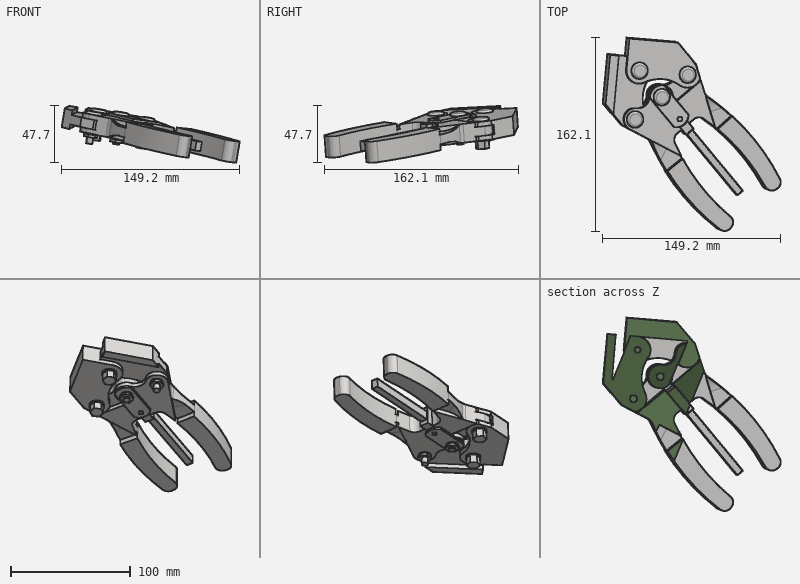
import cadquery as cq
import math


TOOL_NORMAL = (0.1655, -0.0685, 1.0)
TOOL_HEADING = -49.67

PIVOT_REACH = 29.0
HANDLE_PIVOT = (0.0, 0.0)
JAW_PIVOT = (-PIVOT_REACH, 0.0)
SIDE_PIVOT = (0.0, PIVOT_REACH)
OTHER_SIDE_PIVOT = (0.0, -PIVOT_REACH)
PIVOT_SPACING = PIVOT_REACH * math.sqrt(2)

TONGUE_THICK = 8.0
JAW_THICK = 16.0
HANDLE_THICK = 16.0
GRIP_THICK = 18.0
STRAP_THICK = 2.0

JAW_TURN = -45.0
JAW_LOBE = 11.0
JAW_DEPTH = 26.0
JAW_WAIST_RADIUS = 30.0
BLADE_WIDTH = 7.3
EDGE_TILT = 22.5

SIDE_LOBE = 9.3
CENTRE_LOBE = 10.0
VALLEY_RADIUS = 10.0
STEP_X = JAW_LOBE
CROTCH_X = 32.2
CROTCH_RADIUS = 7.0
BAR_TILT = 13.5
BAR_ROOT_X = 22.9
BAR_ROOT_TILT = 17.4
BAR_ROOT_RADIUS = 6.0
BAR_OUTER_RADIUS = 180.0
RAMP_RADIUS = 25.0
RAMP_END = 24.5

GRIP_OUTER_START = (51.0, 35.7)
GRIP_OUTER_MID = (84.0, 37.3)
GRIP_OUTER_END = (123.3, 31.6)
GRIP_INNER_END = (121.4, 17.9)
GRIP_INNER_MID = (88.0, 22.1)
GRIP_INNER_START = (51.4, 19.2)
GRIP_END_RADIUS = 6.2

STRAP_LENGTH = 20.0
STRAP_WIDTH = 16.0
STRAP_END_RADIUS = CENTRE_LOBE
BLOCK_WIDTH = 8.0
BLOCK_START = 14.0
BLOCK_END = 38.2
ROD_WIDTH = 6.0
ROD_HEIGHT = 8.0
ROD_END = 105.8
RIVET_X = 24.0
RIVET_RADIUS = 2.0
RIVET_HEIGHT = 0.5

BOLT_RADIUS = 2.75
HEAD_RADIUS = 7.0
HEAD_HEIGHT = 2.0
HEAD_ROUNDING = 0.99 * HEAD_HEIGHT
NUT_ACROSS_FLATS = 10.0
NUT_TURN = 10.0
THIN_NUT = 2.4
TALL_NUT = 7.0
WIDE_WASHER_RADIUS = 6.3
NARROW_WASHER_RADIUS = 5.0
WASHER_THICK = 1.0
HANDLE_BOLT_LENGTH = 25.0

OVERSIZE = 200.0


def unit(angle):
    """Unit vector at an angle in degrees."""
    return math.cos(math.radians(angle)), math.sin(math.radians(angle))


def polar(centre, radius, angle):
    """Point on a circle."""
    dx, dy = unit(angle)
    return centre[0] + radius * dx, centre[1] + radius * dy


def angle_to(start, end):
    """Direction from one point to another, degrees."""
    return math.degrees(math.atan2(end[1] - start[1], end[0] - start[0]))


def crossing(point_a, angle_a, point_b, angle_b):
    """Point where two lines, each given by a point and a direction, cross."""
    ax, ay = unit(angle_a)
    bx, by = unit(angle_b)
    gap_x = point_b[0] - point_a[0]
    gap_y = point_b[1] - point_a[1]
    along = (gap_x * by - gap_y * bx) / (ax * by - ay * bx)
    return point_a[0] + along * ax, point_a[1] + along * ay


def tangent_corner(corner, angle_in, angle_out, radius):
    """Start, middle and end of the arc that rounds a corner between two directions."""
    half_turn = math.radians(abs(angle_out - angle_in) / 2)
    setback = radius * math.tan(half_turn)
    bulge = radius / math.cos(half_turn) - radius
    inward = angle_to(unit(angle_in), unit(angle_out))
    return polar(corner, -setback, angle_in), polar(corner, bulge, inward), polar(corner, setback, angle_out)


def plate(outline, thickness):
    """Closed outline extruded evenly to both sides of the mid-plane."""
    return outline.close().extrude(thickness / 2, both=True)


def mirrored(body):
    """The same body on the other side of the tool axis."""
    return body.mirror("XZ")


EDGE_NORMAL = 90 - EDGE_TILT
EDGE_POINT = polar(SIDE_PIVOT, SIDE_LOBE, EDGE_NORMAL)




def bolt(pivot, top, bottom):
    """Domed head on the top face and shank down to the bottom level."""
    head = cq.Workplane().workplane(offset=top).center(*pivot).circle(HEAD_RADIUS).extrude(HEAD_HEIGHT)
    head = head.faces(">Z").edges().fillet(HEAD_ROUNDING)
    shank = cq.Workplane().workplane(offset=bottom).center(*pivot).circle(BOLT_RADIUS).extrude(top - bottom)
    return head.union(shank)


def nut(pivot, top, height, washer_radius, turn):
    """Hexagonal nut under its washer, hanging below a level, one corner turned to the given angle."""
    across_corners = NUT_ACROSS_FLATS / math.cos(math.pi / 6)
    washer = cq.Workplane().circle(washer_radius).extrude(-WASHER_THICK)
    hexagon = cq.Workplane().workplane(offset=-WASHER_THICK).polygon(6, across_corners).extrude(-height)
    return washer.union(hexagon).rotate((0, 0, 0), (0, 0, 1), turn).translate((*pivot, top))


def bolt_hole(pivot):
    """Cylinder that clears a bolt right through the tool."""
    return cq.Workplane().center(*pivot).circle(BOLT_RADIUS).extrude(OVERSIZE / 2, both=True)




def jaw_point(along, across):
    """Point measured from the jaw pivot: inwards from the outer edge, and across to the side pivot."""
    return polar(polar(JAW_PIVOT, along, JAW_TURN), across, JAW_TURN + 90)


def jaw_outline():
    """Two lobes joined by a hollow waist, with straight outer edges."""
    waist_along = math.sqrt((JAW_WAIST_RADIUS + JAW_LOBE) ** 2 - (PIVOT_SPACING / 2) ** 2)
    waist = jaw_point(waist_along, PIVOT_SPACING / 2)
    lobe_start = JAW_TURN - 90
    to_jaw_waist = angle_to(JAW_PIVOT, waist)
    to_side_waist = angle_to(SIDE_PIVOT, waist)
    edge_on_lobe = EDGE_NORMAL - math.degrees(math.acos(SIDE_LOBE / JAW_LOBE))
    back_point = polar(SIDE_PIVOT, JAW_LOBE, 90)
    return (
        cq.Workplane()
        .moveTo(*jaw_point(-JAW_DEPTH, -JAW_LOBE))
        .lineTo(*jaw_point(0, -JAW_LOBE))
        .threePointArc(polar(JAW_PIVOT, JAW_LOBE, (lobe_start + to_jaw_waist) / 2),
                       polar(JAW_PIVOT, JAW_LOBE, to_jaw_waist))
        .threePointArc(jaw_point(waist_along - JAW_WAIST_RADIUS, PIVOT_SPACING / 2),
                       polar(SIDE_PIVOT, JAW_LOBE, to_side_waist))
        .threePointArc(polar(SIDE_PIVOT, JAW_LOBE, (to_side_waist + edge_on_lobe) / 2),
                       polar(SIDE_PIVOT, JAW_LOBE, edge_on_lobe))
        .lineTo(*crossing(EDGE_POINT, -EDGE_TILT, back_point, 0))
        .lineTo(*crossing(jaw_point(-JAW_DEPTH, 0), JAW_TURN + 90, back_point, 0))
    )


def jaw_slab(start, end, thickness):
    """Block crossing the jaw between two distances along it."""
    slab = cq.Workplane().box(end - start, OVERSIZE, thickness, centered=(False, True, True))
    slab = slab.translate((start, 0, 0)).rotate((0, 0, 0), (0, 0, 1), JAW_TURN)
    return slab.translate((*JAW_PIVOT, 0))


def make_slotted_jaw():
    """Upper jaw: slotted for the blade jaw and the tongue handle, with its two bolts."""
    jaw = plate(jaw_outline(), JAW_THICK).cut(jaw_slab(-JAW_LOBE, OVERSIZE, TONGUE_THICK))
    level = JAW_THICK / 2
    for pivot in (JAW_PIVOT, SIDE_PIVOT):
        jaw = jaw.union(bolt(pivot, level, -level))
        jaw = jaw.union(nut(pivot, -level, TALL_NUT, WIDE_WASHER_RADIUS, NUT_TURN))
    return jaw


def make_blade_jaw():
    """Lower jaw: a tongue with a thick strip along its outer edge."""
    tongue = plate(jaw_outline(), TONGUE_THICK)
    strip = plate(jaw_outline(), JAW_THICK).intersect(jaw_slab(-JAW_DEPTH, BLADE_WIDTH - JAW_DEPTH, JAW_THICK))
    jaw = mirrored(tongue.union(strip))
    for pivot in (JAW_PIVOT, OTHER_SIDE_PIVOT):
        jaw = jaw.cut(bolt_hole(pivot))
    return jaw




def handle_outline():
    """Side lobe, body, bar up to the grip, crotch beside the link block and centre lobe."""
    to_side = SIDE_LOBE + VALLEY_RADIUS
    to_centre = CENTRE_LOBE + VALLEY_RADIUS
    valley_y = (PIVOT_REACH ** 2 + to_centre ** 2 - to_side ** 2) / (2 * PIVOT_REACH)
    valley = (-math.sqrt(to_centre ** 2 - valley_y ** 2), valley_y)
    valley_on_centre = angle_to(HANDLE_PIVOT, valley)
    valley_on_side = angle_to(SIDE_PIVOT, valley) % 360
    half_block = BLOCK_WIDTH / 2

    bar_root = crossing(EDGE_POINT, -EDGE_TILT, (BAR_ROOT_X, 0), 90)
    bar_start, bar_mid, bar_end = tangent_corner(bar_root, -EDGE_TILT, BAR_ROOT_TILT, BAR_ROOT_RADIUS)
    crotch_corner = crossing((CROTCH_X, 0), 90, GRIP_INNER_START, BAR_TILT)
    crotch_start, crotch_mid, crotch_end = tangent_corner(crotch_corner, BAR_TILT + 180, 270, CROTCH_RADIUS)
    return (
        cq.Workplane()
        .moveTo(*EDGE_POINT)
        .lineTo(*bar_start)
        .threePointArc(bar_mid, bar_end)
        .radiusArc(GRIP_OUTER_START, BAR_OUTER_RADIUS)
        .lineTo(*GRIP_INNER_START)
        .lineTo(*crotch_start)
        .threePointArc(crotch_mid, crotch_end)
        .lineTo(CROTCH_X, half_block)
        .lineTo(math.sqrt(CENTRE_LOBE ** 2 - half_block ** 2), half_block)
        .threePointArc((0, -CENTRE_LOBE), polar(HANDLE_PIVOT, CENTRE_LOBE, valley_on_centre))
        .threePointArc((valley[0] + VALLEY_RADIUS, valley_y), polar(SIDE_PIVOT, SIDE_LOBE, valley_on_side))
        .threePointArc(polar(SIDE_PIVOT, SIDE_LOBE, (valley_on_side + EDGE_NORMAL) / 2), EDGE_POINT)
    )


def ramp_cutter():
    """Space above the bar, outside the outer edge line, with a hollow ramp at its start."""
    bar_level = TONGUE_THICK / 2
    top = HANDLE_THICK / 2
    run = math.sqrt(RAMP_RADIUS ** 2 - (RAMP_RADIUS - top + bar_level) ** 2)
    halfway = math.asin(run / RAMP_RADIUS) / 2
    ramp_mid = (RAMP_END - RAMP_RADIUS * math.sin(halfway),
                bar_level + RAMP_RADIUS * (1 - math.cos(halfway)))
    foot = crossing(EDGE_POINT, -EDGE_TILT, HANDLE_PIVOT, EDGE_NORMAL)
    inward = unit(EDGE_NORMAL + 180)
    side = cq.Plane(origin=(*foot, 0), xDir=(*unit(-EDGE_TILT), 0), normal=(*inward, 0))
    return (
        cq.Workplane(side)
        .moveTo(RAMP_END - run, top)
        .threePointArc(ramp_mid, (RAMP_END, bar_level))
        .lineTo(OVERSIZE, bar_level)
        .lineTo(OVERSIZE, top)
        .close()
        .extrude(-OVERSIZE)
    )


def make_grip():
    """Curved grip with a rounded end."""
    outline = (
        cq.Workplane()
        .moveTo(*GRIP_OUTER_START)
        .threePointArc(GRIP_OUTER_MID, GRIP_OUTER_END)
        .lineTo(*GRIP_INNER_END)
        .threePointArc(GRIP_INNER_MID, GRIP_INNER_START)
    )
    end_corners = cq.selectors.BoxSelector((GRIP_INNER_END[0] - 1, 0, -GRIP_THICK),
                                           (OVERSIZE, OVERSIZE, GRIP_THICK))
    return plate(outline, GRIP_THICK).edges("|Z").edges(end_corners).fillet(GRIP_END_RADIUS)


def hinge_end(thickness):
    """Block over the part of a handle between its pivots and the full-thickness step."""
    block = cq.Workplane().box(OVERSIZE, OVERSIZE, thickness, centered=(False, True, True))
    return block.translate((STEP_X - OVERSIZE, 0, 0))


def handle_blank():
    """Handle of full thickness with its thinned bar and grip."""
    ramp = ramp_cutter()
    return plate(handle_outline(), HANDLE_THICK).cut(ramp).cut(ramp.mirror("XY")).union(make_grip())


def make_tongue_handle():
    """Upper handle: thinned to a tongue that enters the slotted jaw and the other handle."""
    handle = handle_blank().cut(hinge_end(HANDLE_THICK).cut(hinge_end(TONGUE_THICK)))
    for pivot in (HANDLE_PIVOT, SIDE_PIVOT):
        handle = handle.cut(bolt_hole(pivot))
    return handle


def make_fork_handle():
    """Lower handle: slotted for the blade jaw and the other handle, with its two bolts."""
    handle = mirrored(handle_blank().cut(hinge_end(TONGUE_THICK)))
    level = HANDLE_THICK / 2
    strap_level = level + STRAP_THICK
    for pivot, face, turn in ((OTHER_SIDE_PIVOT, level, 0), (HANDLE_PIVOT, strap_level, NUT_TURN)):
        handle = handle.union(bolt(pivot, face, face - HANDLE_BOLT_LENGTH))
        handle = handle.union(nut(pivot, -face, THIN_NUT, NARROW_WASHER_RADIUS, turn))
    return handle




def strap(bottom):
    """Rounded plate with its sides trimmed flat."""
    centre = cq.Workplane().workplane(offset=bottom).center(STRAP_LENGTH / 2, 0)
    rounded = centre.slot2D(STRAP_LENGTH + 2 * STRAP_END_RADIUS, 2 * STRAP_END_RADIUS).extrude(STRAP_THICK)
    return rounded.intersect(cq.Workplane().box(OVERSIZE, STRAP_WIDTH, OVERSIZE))


def make_link():
    """Two straps on the handle pivot, riveted over the block that ends the rod."""
    level = HANDLE_THICK / 2
    block = (
        cq.Workplane()
        .box(BLOCK_END - BLOCK_START, BLOCK_WIDTH, HANDLE_THICK, centered=(False, True, True))
        .translate((BLOCK_START, 0, 0))
    )
    rod = (
        cq.Workplane()
        .box(ROD_END - BLOCK_END, ROD_WIDTH, ROD_HEIGHT, centered=(False, True, True))
        .translate((BLOCK_END, 0, 0))
    )
    rivet = (
        cq.Workplane()
        .center(RIVET_X, 0)
        .circle(RIVET_RADIUS)
        .extrude(level + STRAP_THICK + RIVET_HEIGHT, both=True)
    )
    link = block.union(rod).union(strap(level)).union(strap(-level - STRAP_THICK)).union(rivet)
    return link.cut(bolt_hole(HANDLE_PIVOT))




def tool_plane():
    """Tilted plane that carries the tool frame."""
    heading = cq.Vector(*unit(TOOL_HEADING), 0)
    normal = cq.Vector(*TOOL_NORMAL).normalized()
    return cq.Plane(origin=(0, 0, 0), xDir=heading - normal * heading.dot(normal), normal=normal)


slotted_jaw = make_slotted_jaw()
blade_jaw = make_blade_jaw()
tongue_handle = make_tongue_handle()
fork_handle = make_fork_handle()
link = make_link()

placement = cq.Location(tool_plane())
bodies = (slotted_jaw, blade_jaw, tongue_handle, fork_handle, link)
result = cq.Compound.makeCompound([body.val().moved(placement) for body in bodies])